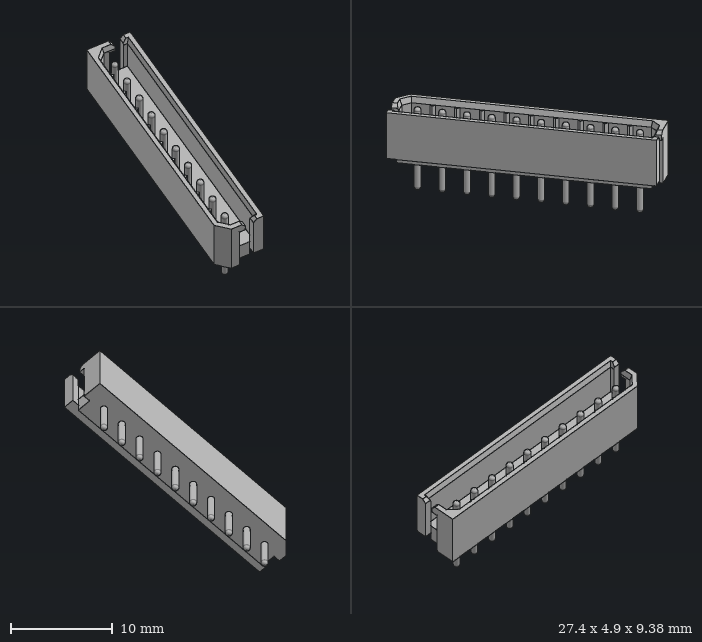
import cadquery as cq
import math

length = 27.4
depth = 4.9
housing_height = 5.85
front_corner_cut = 1.25

floor_height = 1.9
end_wall = 0.77
front_wall = 0.75
rear_wall = 0.75
cavity_corner_cut = 0.8
rim_widening = 0.22
rim_height = 0.6

slot_front = 2.16
slot_rear = 3.73
hook_reach = 0.65
hook_height = 0.93
entry_chamfer = 0.38
rear_relief_height = 0.9

pin_count = 10
pin_diameter = 0.7
pin_end_margin = 2.45
pin_y = 1.84
pin_bottom = -3.53
pin_top = 5.37
pin_tip_radius = 0.33
pin_pitch = (length - 2 * pin_end_margin) / (pin_count - 1)

rib_depth = 0.33
rib_half_width = 0.27

rim_start = housing_height - rim_height

corner_cut_growth = 2 - math.sqrt(2)


def cavity_outline(plane, growth):
    """Cavity outline with both front corners cut off, grown outwards by `growth`."""
    left = end_wall - growth
    right = length - left
    front = front_wall - growth
    rear = depth - rear_wall + growth
    cut = cavity_corner_cut + growth * corner_cut_growth
    return plane.polyline(
        [
            (left, rear),
            (left, front + cut),
            (left + cut, front),
            (right - cut, front),
            (right, front + cut),
            (right, rear),
        ]
    ).close()


def make_block():
    """Solid housing block with one cut front corner and a relief under the rear wall."""
    block = cq.Workplane("XY").box(length, depth, housing_height, centered=False)
    block = block.edges("|Z and >X and <Y").chamfer(front_corner_cut)
    relief = (
        cq.Workplane("XY")
        .box(length, depth - slot_rear, rear_relief_height, centered=False)
        .translate((0, slot_rear, 0))
    )
    return block.cut(relief)


def make_cavity():
    """Straight-sided cavity that widens towards its rim."""
    straight = cavity_outline(cq.Workplane("XY").workplane(offset=floor_height), 0)
    straight = straight.extrude(rim_start - floor_height)
    rim = cavity_outline(cq.Workplane("XY").workplane(offset=rim_start), 0)
    rim = cavity_outline(rim.workplane(offset=rim_height), rim_widening).loft(ruled=True)
    return straight.union(rim)


def make_end_slot(x_start):
    """Slot through one end wall, open below, narrowed by a hook and flared at the top."""
    hook_tip = slot_front + hook_reach
    hook_bottom = housing_height - hook_height
    flare_bottom = housing_height - entry_chamfer
    return (
        cq.Workplane("YZ", origin=(x_start, 0, 0))
        .polyline(
            [
                (slot_front, 0),
                (slot_front, hook_bottom),
                (hook_tip, hook_bottom),
                (hook_tip, flare_bottom),
                (hook_tip - entry_chamfer, housing_height),
                (slot_rear + entry_chamfer, housing_height),
                (slot_rear, flare_bottom),
                (slot_rear, 0),
            ]
        )
        .close()
        .extrude(end_wall)
    )


def make_pin(x):
    """Round pin with rounded tips."""
    return (
        cq.Workplane("XY", origin=(x, pin_y, pin_bottom))
        .circle(pin_diameter / 2)
        .extrude(pin_top - pin_bottom)
        .faces("<Z or >Z")
        .edges()
        .fillet(pin_tip_radius)
    )


def make_rib(x):
    """Triangular rib from the cavity floor up to the widened rim."""
    return (
        cq.Workplane("XY", origin=(x, front_wall, floor_height))
        .polyline([(-rib_half_width, 0), (rib_half_width, 0), (0, rib_depth)])
        .close()
        .extrude(rim_start - floor_height)
    )


result = make_block().cut(make_cavity())
for slot_x in (0, length - end_wall):
    result = result.cut(make_end_slot(slot_x))

for index in range(pin_count):
    result = result.union(make_pin(pin_end_margin + index * pin_pitch))

for index in range(pin_count - 1):
    result = result.union(make_rib(pin_end_margin + (index + 0.5) * pin_pitch))